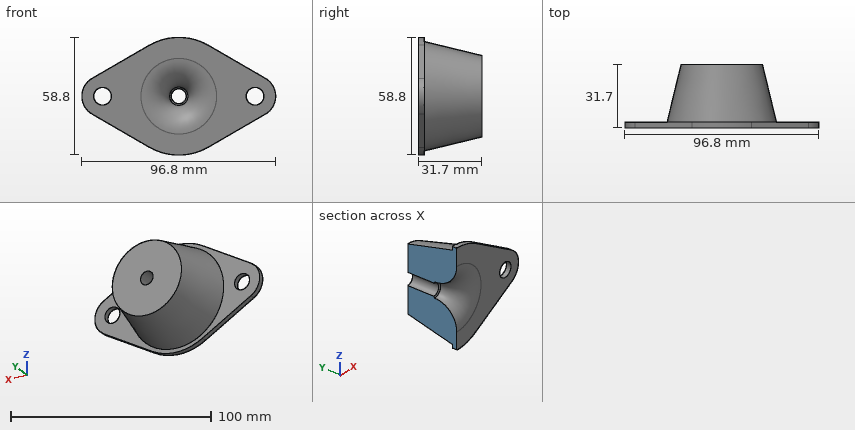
import cadquery as cq
import math

length = 96.8
center_radius = 29.4
end_radius = 10.4
flange_thickness = 3.0
hole_radius = 4.4
hole_offset = length / 2 - end_radius

total_depth = 31.7
body_base_radius = 27.3
body_tip_radius = 20.3

mouth_radius = 18.9
throat_radius = 4.5
exit_radius = 3.7
bell_radius = mouth_radius - throat_radius
cone_half_angle = 59
cone_depth = (throat_radius - exit_radius) / math.tan(math.radians(cone_half_angle))
exit_hole_start = bell_radius + cone_depth


def make_flange():
    """Center disc and two end discs joined by tangent lines, with two mounting holes."""
    normal_x = (center_radius - end_radius) / hole_offset
    normal_z = math.sqrt(1 - normal_x**2)
    center_x = center_radius * normal_x
    center_z = center_radius * normal_z
    end_x = hole_offset + end_radius * normal_x
    end_z = end_radius * normal_z
    outline = (
        cq.Workplane("XZ")
        .moveTo(-center_x, center_z)
        .threePointArc((0, center_radius), (center_x, center_z))
        .lineTo(end_x, end_z)
        .threePointArc((length / 2, 0), (end_x, -end_z))
        .lineTo(center_x, -center_z)
        .threePointArc((0, -center_radius), (-center_x, -center_z))
        .lineTo(-end_x, -end_z)
        .threePointArc((-length / 2, 0), (-end_x, end_z))
        .close()
    )
    holes = (
        cq.Workplane("XZ")
        .pushPoints([(-hole_offset, 0), (hole_offset, 0)])
        .circle(hole_radius)
        .extrude(-flange_thickness)
    )
    return outline.extrude(-flange_thickness).cut(holes)


def make_body():
    """Solid cone frustum from the back of the flange to the rear end."""
    return (
        cq.Workplane("XY")
        .moveTo(0, flange_thickness)
        .lineTo(body_base_radius, flange_thickness)
        .lineTo(body_tip_radius, total_depth)
        .lineTo(0, total_depth)
        .close()
        .revolve(360, (0, 0), (0, 1))
    )


def make_bore():
    """Bell curve tangent to the front face, followed by the cone and the exit hole."""
    arc_offset = bell_radius * math.sqrt(0.5)
    bell_middle = (mouth_radius - arc_offset, bell_radius - arc_offset)
    return (
        cq.Workplane("XY")
        .lineTo(mouth_radius, 0)
        .threePointArc(bell_middle, (throat_radius, bell_radius))
        .lineTo(exit_radius, exit_hole_start)
        .lineTo(exit_radius, total_depth)
        .lineTo(0, total_depth)
        .close()
        .revolve(360, (0, 0), (0, 1))
    )


result = make_flange().union(make_body()).cut(make_bore())